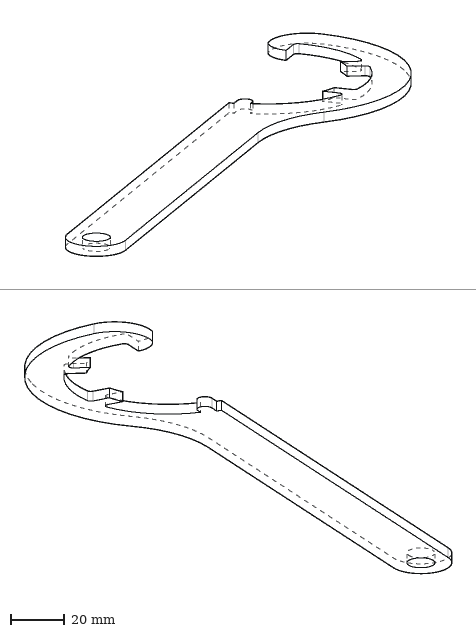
import cadquery as cq
import math

length = 284.8
thickness = 4.0

hook_radius = 54.0
bore_radius = 39.3
nose_left = -13.5
nose_radius = 15.0
nose_end_angle = 190.0
nose_belly = (-8.0, 30.8)
nose_inner_x = -3.5
nose_tip_y = 29.5

handle_width = 23.4
handle_left = -0.9
handle_top = -40.5
neck_radius = 45.5
hang_hole_diameter = 10.5

peg_left = 1.0
peg_width = 6.0
peg_top = -33.5

teeth = [(0.0, -11.7), (24.0, 9.7)]
tooth_width = 6.0
tooth_tip_radius = 31.0
root_fillet = 1.7

handle_right = handle_left + handle_width
handle_middle = handle_left + handle_width / 2
handle_end_radius = handle_width / 2
handle_end_y = hook_radius - length + handle_end_radius
peg_radius = peg_width / 2
peg_right = peg_left + peg_width
peg_shoulder_y = peg_top - peg_radius


def polar(radius, degrees, center=(0.0, 0.0)):
    angle = math.radians(degrees)
    return (center[0] + radius * math.cos(angle), center[1] + radius * math.sin(angle))


def on_bore(x, side):
    """Point of the bore circle at x, above (side 1) or below (side -1) the centre."""
    return (x, side * math.sqrt(bore_radius**2 - x**2))


def make_body():
    """Hook, peg and handle as one closed outline."""
    nose_x = nose_left + nose_radius
    nose_y = math.sqrt((hook_radius - nose_radius) ** 2 - nose_x**2)
    nose_center = (nose_x, nose_y)
    nose_start_angle = math.degrees(math.atan2(nose_y, nose_x))
    nose_start = polar(hook_radius, nose_start_angle)
    nose_middle_angle = (nose_start_angle + nose_end_angle) / 2

    neck_x = handle_right + neck_radius
    neck_y = -math.sqrt((hook_radius + neck_radius) ** 2 - neck_x**2)
    neck_angle = math.degrees(math.atan2(neck_y, neck_x))
    neck_middle_angle = 180.0 + neck_angle / 2

    outline = (
        cq.Workplane("XY")
        .moveTo(*nose_start)
        .threePointArc(
            polar(nose_radius, nose_middle_angle, nose_center),
            polar(nose_radius, nose_end_angle, nose_center),
        )
        .threePointArc(nose_belly, (nose_inner_x, nose_tip_y))
        .lineTo(*on_bore(nose_inner_x, 1))
        .threePointArc((bore_radius, 0), on_bore(peg_right, -1))
        .lineTo(peg_right, peg_shoulder_y)
        .threePointArc((peg_left + peg_radius, peg_top), (peg_left, peg_shoulder_y))
        .lineTo(peg_left, handle_top)
        .lineTo(handle_left, handle_top)
        .lineTo(handle_left, handle_end_y)
        .threePointArc((handle_middle, hook_radius - length), (handle_right, handle_end_y))
        .lineTo(handle_right, neck_y)
        .threePointArc(
            polar(neck_radius, neck_middle_angle, (neck_x, neck_y)),
            polar(hook_radius, neck_angle),
        )
        .threePointArc((hook_radius, 0), nose_start)
        .close()
    )
    return outline.extrude(thickness)


def make_tooth(direction, offset):
    """Parallel-sided tooth rooted in the ring, its tip cut to a circle about the hook centre."""
    root_radius = (bore_radius + hook_radius) / 2
    bar = (
        cq.Workplane("XY")
        .center(root_radius / 2, offset)
        .rect(root_radius, tooth_width)
        .extrude(thickness)
    )
    tip_cutter = cq.Workplane("XY").circle(tooth_tip_radius).extrude(thickness)
    return bar.cut(tip_cutter).rotate((0, 0, 0), (0, 0, 1), direction)


def tooth_root_points(direction, offset):
    """Where the two sides of a tooth meet the bore."""
    sides = (offset - tooth_width / 2, offset + tooth_width / 2)
    return [polar(bore_radius, direction + math.degrees(math.asin(side / bore_radius))) for side in sides]


result = make_body()
fillet_points = [on_bore(nose_inner_x, 1)]
for direction, offset in teeth:
    result = result.union(make_tooth(direction, offset))
    fillet_points += tooth_root_points(direction, offset)

for x, y in fillet_points:
    corner = cq.selectors.NearestToPointSelector((x, y, thickness / 2))
    result = result.edges("|Z").edges(corner).fillet(root_fillet)

hang_hole = (
    cq.Workplane("XY")
    .center(handle_middle, handle_end_y)
    .circle(hang_hole_diameter / 2)
    .extrude(thickness)
)
result = result.cut(hang_hole)